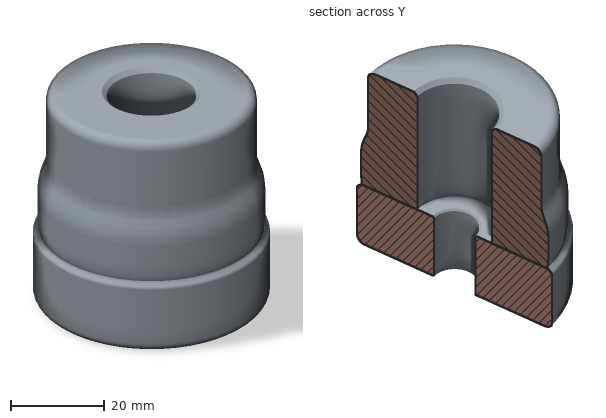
import cadquery as cq
import math

HEIGHT = 49.85
EDGE_FILLET = 2.05

BASE_RADIUS = 25.4
BASE_WALL_TOP = 15.4
SHOULDER_ROUND = 0.85
SHOULDER_ANGLE = math.radians(45)
SEAT_Z = 16.85
HOLE_RADIUS = 5.3
HOLE_CHAMFER = 0.4

FOOT_CURVE_RADIUS = 20.0
NECK_RADIUS = 24.4
HEAD_RADIUS = 22.55
NECK_BOTTOM = 19.85
NECK_TOP = 25.85
FLANK_ANGLE = math.radians(20)
CONVEX_RADIUS = 10.0
CONCAVE_RADIUS = 8.0
BORE_RADIUS = 9.6
BORE_CHAMFER = 0.95


def arc_point(center, radius, angle):
    """Point (radius, height) on an arc in the profile plane."""
    return center[0] + radius * math.cos(angle), center[1] + radius * math.sin(angle)


def revolve(profile):
    """Turn a closed profile in the XZ plane about the Z axis."""
    return profile.close().revolve(360, (0, 0, 0), (0, 1, 0))


def make_base():
    """Low disc with a rounded, bevelled shoulder and a chamfered through hole."""
    round_center = (BASE_RADIUS - SHOULDER_ROUND, BASE_WALL_TOP)
    round_middle = arc_point(round_center, SHOULDER_ROUND, SHOULDER_ANGLE / 2)
    round_end = arc_point(round_center, SHOULDER_ROUND, SHOULDER_ANGLE)
    seat_radius = round_end[0] - (SEAT_Z - round_end[1]) * math.tan(SHOULDER_ANGLE)
    profile = (
        cq.Workplane("XZ")
        .moveTo(HOLE_RADIUS, 0)
        .lineTo(BASE_RADIUS, 0)
        .lineTo(BASE_RADIUS, BASE_WALL_TOP)
        .threePointArc(round_middle, round_end)
        .lineTo(seat_radius, SEAT_Z)
        .lineTo(HOLE_RADIUS + HOLE_CHAMFER, SEAT_Z)
        .lineTo(HOLE_RADIUS, SEAT_Z - HOLE_CHAMFER)
    )
    outer_rim = cq.selectors.RadiusNthSelector(-1)
    return revolve(profile).faces("<Z").edges(outer_rim).fillet(EDGE_FILLET)


def make_body():
    """Stepped sleeve with a smooth flank between neck and head, bored through."""
    foot_center = (NECK_RADIUS - FOOT_CURVE_RADIUS, NECK_BOTTOM)
    foot_angle = math.asin((SEAT_Z - NECK_BOTTOM) / FOOT_CURVE_RADIUS)
    foot_start = arc_point(foot_center, FOOT_CURVE_RADIUS, foot_angle)
    foot_middle = arc_point(foot_center, FOOT_CURVE_RADIUS, foot_angle / 2)

    convex_center = (NECK_RADIUS - CONVEX_RADIUS, NECK_TOP)
    convex_middle = arc_point(convex_center, CONVEX_RADIUS, FLANK_ANGLE / 2)
    convex_end = arc_point(convex_center, CONVEX_RADIUS, FLANK_ANGLE)

    concave_inset = CONCAVE_RADIUS * (1 - math.cos(FLANK_ANGLE))
    flank_end_radius = HEAD_RADIUS + concave_inset
    flank_end_z = convex_end[1] + (convex_end[0] - flank_end_radius) / math.tan(FLANK_ANGLE)
    head_bottom = flank_end_z + CONCAVE_RADIUS * math.sin(FLANK_ANGLE)
    concave_center = (HEAD_RADIUS + CONCAVE_RADIUS, head_bottom)
    concave_middle = arc_point(concave_center, CONCAVE_RADIUS, math.pi + FLANK_ANGLE / 2)

    profile = (
        cq.Workplane("XZ")
        .moveTo(BORE_RADIUS, SEAT_Z)
        .lineTo(*foot_start)
        .threePointArc(foot_middle, (NECK_RADIUS, NECK_BOTTOM))
        .lineTo(NECK_RADIUS, NECK_TOP)
        .threePointArc(convex_middle, convex_end)
        .lineTo(flank_end_radius, flank_end_z)
        .threePointArc(concave_middle, (HEAD_RADIUS, head_bottom))
        .lineTo(HEAD_RADIUS, HEIGHT)
        .lineTo(BORE_RADIUS + BORE_CHAMFER, HEIGHT)
        .lineTo(BORE_RADIUS, HEIGHT - BORE_CHAMFER)
    )
    outer_rim = cq.selectors.RadiusNthSelector(-1)
    return revolve(profile).faces(">Z").edges(outer_rim).fillet(EDGE_FILLET)


base = make_base()
body = make_body()
result = cq.Compound.makeCompound([base.val(), body.val()])